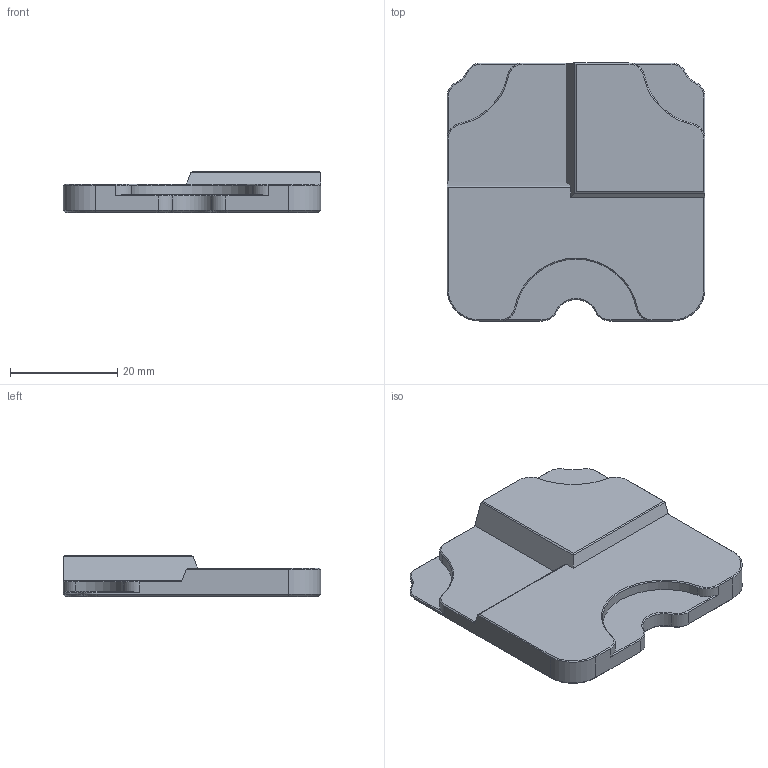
import cadquery as cq
import math

side = 48.0
half = side / 2
corner_radius = 6.0
bottom_chamfer = 0.4
top_chamfer = 0.2

full_height = 7.65
step_rise = 2.35
middle_height = full_height - step_rise
low_height = middle_height - step_rise
wall_angle = 20.0
wall_slope = math.tan(math.radians(wall_angle))
wall_overhang = 0.15
wall_run = full_height * wall_slope

recess_radius = 11.5
recess_depth = 2.0
notch_radius = 4.0
flare_radius = 3.0

front_site = ((0, -half), 0, 180)
right_corner_site = ((half, half), 180, 90)
left_corner_site = ((-half, half), 270, 90)


def polar(center, radius, degrees):
    angle = math.radians(degrees)
    return (center[0] + radius * math.cos(angle), center[1] + radius * math.sin(angle))


def flared_sector(site, radius):
    """Full-height circular sector at a site, its arc flaring out tangent to both bordering edges."""
    center, direction, opening = site
    origin = (0, 0)
    flare_distance = radius + flare_radius
    flare_angle = math.degrees(math.asin(flare_radius / flare_distance))
    reach = flare_distance * math.cos(math.radians(flare_angle))
    half_sweep = (90 - flare_angle) / 2
    far_angle = opening - flare_angle
    near_flare_middle = polar(polar(origin, flare_distance, flare_angle), flare_radius, 270 - half_sweep)
    far_flare_middle = polar(
        polar(origin, flare_distance, far_angle), flare_radius, opening + 90 + half_sweep
    )
    sector = (
        cq.Workplane("XY")
        .lineTo(reach, 0)
        .threePointArc(near_flare_middle, polar(origin, radius, flare_angle))
        .threePointArc(polar(origin, radius, opening / 2), polar(origin, radius, far_angle))
        .threePointArc(far_flare_middle, polar(origin, reach, opening))
        .close()
        .extrude(full_height)
    )
    return sector.rotate((0, 0, 0), (0, 0, 1), direction).translate((*center, 0))


def plate(height):
    """Square plate with two rounded front corners and a notch at every site."""
    body = cq.Workplane("XY").box(side, side, height, centered=(True, True, False))
    body = body.edges("|Z and <Y").fillet(corner_radius)
    for site in (front_site, right_corner_site, left_corner_site):
        body = body.cut(flared_sector(site, notch_radius))
    return body


def sloped_half(workplane, direction):
    """Half space behind a leaning wall that ends just past the centre line at full height."""
    return (
        cq.Workplane(workplane)
        .moveTo(direction * (wall_overhang + wall_run), 0)
        .lineTo(direction * wall_overhang, full_height)
        .lineTo(-direction * side, full_height)
        .lineTo(-direction * side, 0)
        .close()
        .extrude(side, both=True)
    )


def break_top_edges(body):
    return body.faces(">Z").chamfer(top_chamfer)


def terrace(body, site, height):
    """Sink the recess into a terrace, with broken edges on the top face and the recess floor."""
    recess = flared_sector(site, recess_radius)
    floor = break_top_edges(plate(height - recess_depth)).intersect(recess)
    return break_top_edges(body.cut(recess)).union(floor)


def low_terrace():
    return terrace(plate(low_height), left_corner_site, low_height)


def middle_terrace():
    front_half = sloped_half("YZ", 1)
    return terrace(plate(middle_height).intersect(front_half), front_site, middle_height)


def high_terrace():
    back_half = sloped_half("YZ", -1)
    right_half = sloped_half("XZ", -1)
    quarter = plate(full_height).intersect(back_half).intersect(right_half)
    return terrace(quarter, right_corner_site, full_height)


def puzzle_plate():
    body = low_terrace().union(middle_terrace()).union(high_terrace())
    return body.faces("<Z").chamfer(bottom_chamfer)


result = puzzle_plate()